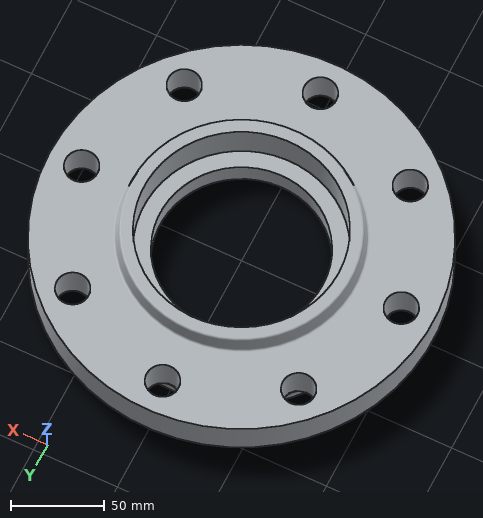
import cadquery as cq

flange_diameter = 228.5
total_height = 38.2

raised_face_diameter = 171.5
raised_face_height = 6.5
hub_height = 9.1
flange_top = total_height - hub_height

hub_base_diameter = 134.8
hub_top_diameter = 131.2
hub_rim_radius = 1.4
hub_root_radius = 1.4

socket_diameter = 116.0
socket_depth = 23.5
bore_diameter = 97.0

bolt_hole_count = 8
bolt_hole_diameter = 19.0
bolt_circle_diameter = 190.5


def make_blank():
    """Turned blank without holes: raised face, flange disc and tapered hub."""
    return (
        cq.Workplane("XZ")
        .lineTo(raised_face_diameter / 2, 0)
        .lineTo(raised_face_diameter / 2, raised_face_height)
        .lineTo(flange_diameter / 2, raised_face_height)
        .lineTo(flange_diameter / 2, flange_top)
        .lineTo(hub_base_diameter / 2, flange_top)
        .lineTo(hub_top_diameter / 2, total_height)
        .lineTo(0, total_height)
        .close()
        .revolve(360, (0, 0), (0, 1))
    )


def round_hub(body):
    """Blend the hub root into the flange disc and round the hub rim."""
    hub_root = cq.selectors.RadiusNthSelector(1)
    root_blended = body.edges("%CIRCLE").edges(hub_root).fillet(hub_root_radius)
    return root_blended.faces(">Z").edges().fillet(hub_rim_radius)


def cut_stepped_bore(body):
    """Cut the pipe socket from the top and the bore through the rest."""
    return (
        body.faces(">Z")
        .workplane(origin=(0, 0, total_height))
        .cboreHole(bore_diameter, socket_diameter, socket_depth)
    )


def cut_bolt_holes(body):
    """Drill the ring of bolt holes through the flange disc."""
    bolt_holes = (
        cq.Workplane("XY")
        .polarArray(bolt_circle_diameter / 2, 0, 360, bolt_hole_count)
        .circle(bolt_hole_diameter / 2)
        .extrude(flange_top)
    )
    return body.cut(bolt_holes)


result = cut_bolt_holes(cut_stepped_bore(round_hub(make_blank())))